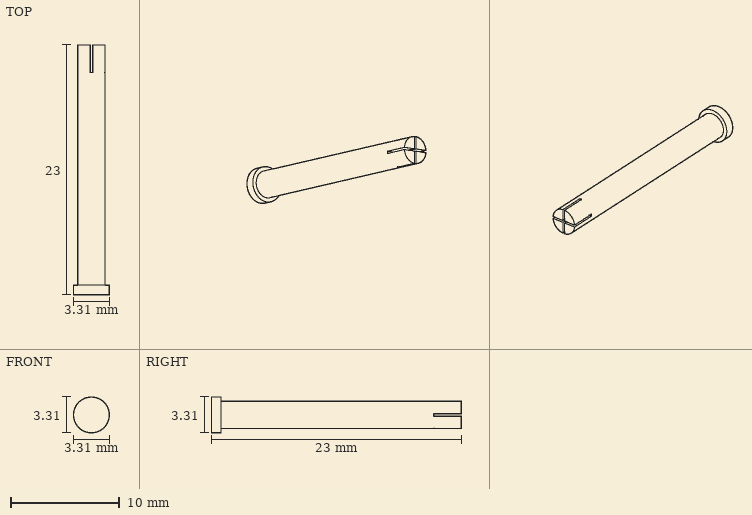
import cadquery as cq

total_length = 23.0
head_diameter = 3.31
head_thickness = 0.9
shank_diameter = 2.53
slot_width = 0.2
slot_depth = 2.53


def cylinder_along_y(diameter, length):
    """Cylinder on the Y axis, starting at Y = 0."""
    return cq.Workplane("XZ").circle(diameter / 2).extrude(-length)


def tip_cutter(size_x, size_z):
    """Block that cuts slot_depth into the tip, centred on the pin axis."""
    slot_centre_y = total_length - slot_depth / 2
    return cq.Workplane("XY").box(size_x, slot_depth, size_z).translate((0, slot_centre_y, 0))


head = cylinder_along_y(head_diameter, head_thickness)
shank = cylinder_along_y(shank_diameter, total_length)
pin = head.union(shank)

upright_slot = tip_cutter(slot_width, shank_diameter)
level_slot = tip_cutter(shank_diameter, slot_width)

result = pin.cut(upright_slot).cut(level_slot)